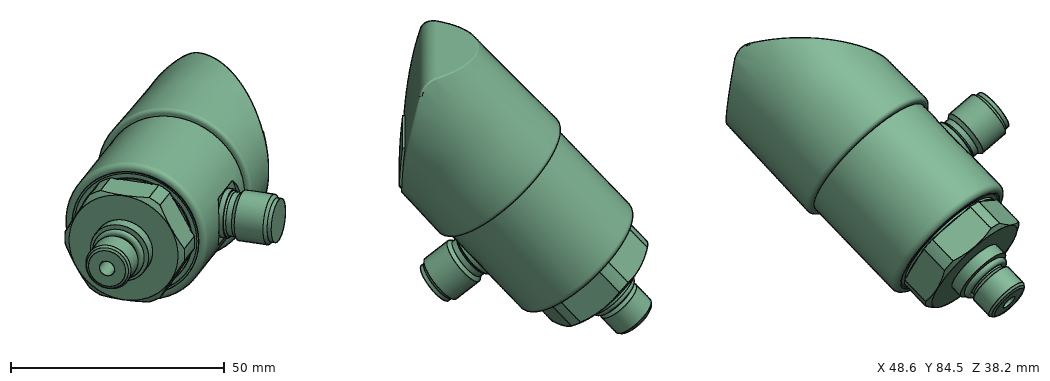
import cadquery as cq
import math


stud_radius = 5.6
stud_tip_radius = 4.6
stud_bevel_radius = 5.15
stud_bevel_height = 0.3
stud_chamfer_height = 0.9
thread_end_y = 6.2
neck_start_y = 7.1
neck_radius = 4.65
collar_y = 9.05
collar_radius = 7.2
hex_y = 12.0
hex_across_flats = 27.05
hex_corner_radius = 14.8
hex_chamfer_radius = 13.4
hex_chamfer_height = 0.85
hex_end_y = 20.1
hex_neck_radius = 14.0
bore_radius = 1.9
disc_radius = 15.1
disc_thickness = 2.5

o_ring_section_radius = 0.85
o_ring_center_radius = neck_radius + o_ring_section_radius
o_ring_y = collar_y - o_ring_section_radius

housing_y = 20.45
housing_radius = 17.5
housing_edge_fillet = 1.35
seal_radius = 15.6
seal_recess = 0.25

connector_y = 37.7
spotface_x = 16.4
spotface_radius = 7.9
flange_x = 17.75
flange_radius = 5.8
neck_taper_x = 18.3
neck_taper_radius = 5.5
connector_neck_radius = 5.2
thread_cone_x = 19.7
thread_x = 20.6
connector_thread_radius = 6.0
thread_chamfer_x = 27.7
connector_nose_x = 28.5
connector_end_x = 29.5

cap_y = 48.5
cap_radius = 19.1
cap_edge_fillet = 0.9
cap_band_height = 1.0
cap_top_y = 84.5
cap_top_radius = 18.5
rim_fillet = 0.4
back_x, back_y = -18.7, 77.85
crown_back_x, crown_back_y = -10.9, 83.5
crown_top_x = -8.1
crown_front_x, crown_front_y = -5.3, 83.5
front_x, front_y = 19.3, 61.5
front_face_radius = 126.8
overhang = 4.2

keypad_start_x = 9.0
keypad_thickness = 0.6
keypad_width = 16.9
keypad_rim_radius = 18.35


def revolve_about_y(points):
    """Solid of revolution from (radius, y) points; the profile closes along the Y axis."""
    return cq.Workplane("XY").polyline(points).close().revolve(360, (0, 0, 0), (0, 1, 0))


def cylinder_y(radius, start_y, end_y):
    """Cylinder on the Y axis between two heights."""
    return revolve_about_y([(0, start_y), (radius, start_y), (radius, end_y), (0, end_y)])


def make_adapter():
    stem = revolve_about_y([
        (0, 0),
        (stud_tip_radius, 0),
        (stud_bevel_radius, stud_bevel_height),
        (stud_radius, stud_chamfer_height),
        (stud_radius, thread_end_y),
        (neck_radius, neck_start_y),
        (neck_radius, collar_y),
        (collar_radius, collar_y),
        (collar_radius, hex_y),
        (0, hex_y),
    ])
    hexagon = (
        cq.Workplane("XZ", origin=(0, hex_y, 0))
        .polygon(6, hex_across_flats / math.cos(math.pi / 6))
        .extrude(hex_y - hex_end_y)
    )
    hex_turning = revolve_about_y([
        (0, hex_y),
        (hex_chamfer_radius, hex_y),
        (hex_corner_radius, hex_y + hex_chamfer_height),
        (hex_corner_radius, hex_end_y),
        (0, hex_end_y),
    ])
    hex_neck = cylinder_y(hex_neck_radius, hex_end_y, housing_y + seal_recess)
    disc = cylinder_y(disc_radius, housing_y + seal_recess, housing_y + disc_thickness)
    bore = cylinder_y(bore_radius, 0, housing_y + disc_thickness)
    return stem.union(hexagon.intersect(hex_turning)).union(hex_neck).union(disc).cut(bore)


def make_o_ring():
    return (
        cq.Workplane("XY")
        .center(o_ring_center_radius, o_ring_y)
        .circle(o_ring_section_radius)
        .revolve(360, (-o_ring_center_radius, 0, 0), (-o_ring_center_radius, 1, 0))
    )


def make_seal_ring():
    """Ring between the adapter disc and the housing."""
    outer = cylinder_y(seal_radius, housing_y + seal_recess, housing_y + disc_thickness)
    return outer.cut(cylinder_y(disc_radius, housing_y, housing_y + disc_thickness))


def make_housing():
    body = cylinder_y(housing_radius, housing_y, cap_y).faces("<Y").edges().fillet(housing_edge_fillet)
    adapter_seat = cylinder_y(seal_radius, housing_y, housing_y + disc_thickness)
    spotface = (
        cq.Workplane("YZ", origin=(spotface_x, connector_y, 0))
        .circle(spotface_radius)
        .extrude(housing_radius)
    )
    return body.cut(adapter_seat).cut(spotface)


def make_connector():
    profile = [
        (spotface_x, 0),
        (spotface_x, flange_radius),
        (flange_x, flange_radius),
        (flange_x, neck_taper_radius),
        (neck_taper_x, connector_neck_radius),
        (thread_cone_x, connector_neck_radius),
        (thread_x, connector_thread_radius),
        (thread_chamfer_x, connector_thread_radius),
        (connector_nose_x, connector_neck_radius),
        (connector_end_x, connector_neck_radius),
        (connector_end_x, 0),
    ]
    return (
        cq.Workplane("XY", origin=(0, connector_y, 0))
        .polyline(profile)
        .close()
        .revolve(360, (0, 0, 0), (1, 0, 0))
    )


chord_x = front_x - crown_front_x
chord_y = front_y - crown_front_y
chord_length = math.hypot(chord_x, chord_y)
center_distance = math.sqrt(front_face_radius ** 2 - (chord_length / 2) ** 2)
front_center_x = (crown_front_x + front_x) / 2 + center_distance * chord_y / chord_length
front_center_y = (crown_front_y + front_y) / 2 - center_distance * chord_x / chord_length


def front_face_point(angle, height=0.0):
    """Point on the front face arc, raised above it by the given height."""
    radius = front_face_radius + height
    return (front_center_x + radius * math.cos(angle), front_center_y + radius * math.sin(angle))


def front_face_angle(x):
    """Angle at which the front face arc reaches the given X."""
    return math.acos((x - front_center_x) / front_face_radius)


def make_cap():
    blank = revolve_about_y([
        (0, cap_y),
        (cap_radius, cap_y),
        (cap_radius, cap_y + cap_band_height),
        (cap_top_radius, cap_top_y),
        (0, cap_top_y),
    ])
    front_middle = front_face_point(front_face_angle((crown_front_x + front_x) / 2))
    roof = (
        cq.Workplane("XY")
        .moveTo(back_x - overhang, cap_y - overhang)
        .lineTo(back_x - overhang, back_y - overhang * (crown_back_y - back_y) / (crown_back_x - back_x))
        .lineTo(crown_back_x, crown_back_y)
        .threePointArc((crown_top_x, cap_top_y), (crown_front_x, crown_front_y))
        .threePointArc(front_middle, (front_x, front_y))
        .lineTo(front_x, cap_y - overhang)
        .close()
        .extrude(2 * cap_radius, both=True)
    )
    cap = blank.intersect(roof)
    cap = cap.faces("<Y").edges().fillet(cap_edge_fillet)
    roof_zone = cq.selectors.BoxSelector(
        (-2 * cap_radius, front_y, -2 * cap_radius),
        (2 * cap_radius, cap_top_y, 2 * cap_radius),
    )
    return cap.edges(roof_zone).edges("not %LINE").fillet(rim_fillet)


def make_keypad():
    start = front_face_angle(keypad_start_x)
    end = front_face_angle(keypad_rim_radius)
    middle = (start + end) / 2
    plate = (
        cq.Workplane("XY")
        .moveTo(*front_face_point(start))
        .threePointArc(front_face_point(middle), front_face_point(end))
        .lineTo(*front_face_point(end, keypad_thickness))
        .threePointArc(front_face_point(middle, keypad_thickness), front_face_point(start, keypad_thickness))
        .close()
        .extrude(keypad_width / 2, both=True)
    )
    return plate.intersect(cylinder_y(keypad_rim_radius, cap_y, cap_top_y))


adapter = make_adapter()
o_ring = make_o_ring()
seal_ring = make_seal_ring()
housing = make_housing()
connector = make_connector()
cap = make_cap()
keypad = make_keypad()

result = cq.Compound.makeCompound([
    adapter.val(),
    o_ring.val(),
    seal_ring.val(),
    housing.val(),
    connector.val(),
    cap.val(),
    keypad.val(),
])